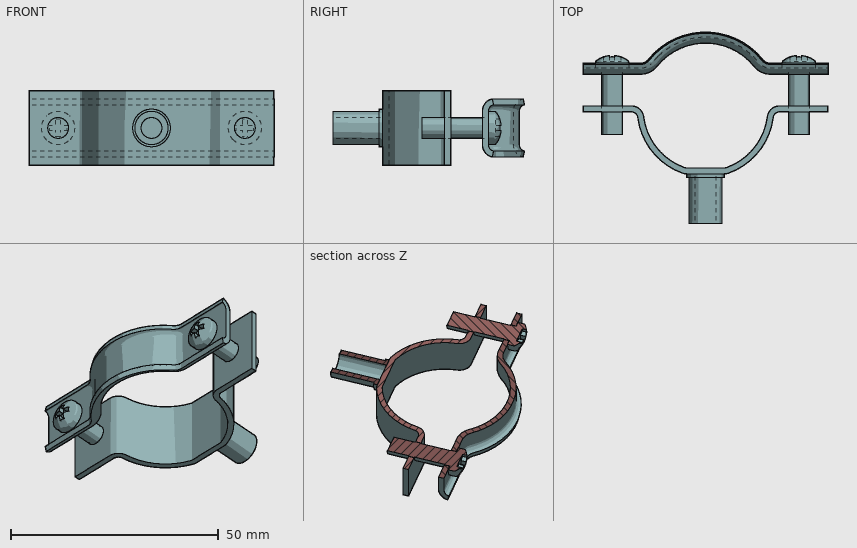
import cadquery as cq
import math


sheet = 1.5
bend_inner = 1.55
bend_outer = bend_inner + sheet
pipe_radius = 15.0
half_length = 29.45

strap_width = 18.0
ear_top = sheet / 2
flat_half_width = 4.55

upper_overhang = 0.1
upper_arc_centre = 0.8
upper_ear_height = 8.3
web_width = 8.15
flange_angle = math.radians(78)
upper_bend = 5.0

boss_radius = 4.0
boss_bore_radius = 5.0 / 2
boss_length = 12.0
collar_radius = flat_half_width
collar_length = 0.9

screw_offset = 22.5
screw_positions = (-screw_offset, screw_offset)
shank_radius = 5.0 / 2
shank_length = 16.0
head_radius = 4.0
head_rim = 1.65
head_height = 3.1
rim_fillet = 0.5
recess_length = 4.2
recess_width = 1.25
recess_depth = head_height - head_rim


def polar(centre, radius, angle):
    """Point at an angle (radians, from +X) on a circle in the XY plane."""
    return (centre[0] + radius * math.cos(angle), centre[1] + radius * math.sin(angle))


def mirror_x(point):
    return (-point[0], point[1])


def cylinder_along_y(radius, y_start, y_end, x=0):
    return cq.Workplane("XZ", origin=(x, y_end, 0)).circle(radius).extrude(y_end - y_start)


shoulder_y = ear_top - bend_outer
shoulder_x = math.sqrt((pipe_radius + bend_outer) ** 2 - shoulder_y ** 2)
shoulder_angle = math.atan2(shoulder_y, shoulder_x)
seat_bend_y = -math.sqrt((pipe_radius - bend_inner) ** 2 - flat_half_width ** 2)
seat_angle = math.atan2(seat_bend_y, flat_half_width)
seat_top = seat_bend_y - bend_inner
seat_bottom = seat_top - sheet


def strap_edge(depth):
    """Right-hand points of one lower strap face, lying `depth` below the pipe-side face."""
    arc_radius = pipe_radius + depth
    shoulder_radius = bend_outer - depth
    seat_radius = bend_inner + depth
    shoulder = (shoulder_x, shoulder_y)
    seat_bend = (flat_half_width, seat_bend_y)
    toward_arc = shoulder_angle + math.pi
    return [
        (half_length, ear_top - depth),
        (shoulder_x, ear_top - depth),
        polar(shoulder, shoulder_radius, (math.pi / 2 + toward_arc) / 2),
        polar(shoulder, shoulder_radius, toward_arc),
        polar((0, 0), arc_radius, (shoulder_angle + seat_angle) / 2),
        polar((0, 0), arc_radius, seat_angle),
        polar(seat_bend, seat_radius, (seat_angle - math.pi / 2) / 2),
        (flat_half_width, seat_top - depth),
    ]


def trace_strap_edge(outline, points):
    """Follow a whole strap face from the end where `outline` stands to the other end."""
    _, shoulder_start, shoulder_mid, shoulder_end, arc_mid, arc_end, seat_mid, seat_end = points
    return (
        outline.lineTo(*shoulder_start)
        .threePointArc(shoulder_mid, shoulder_end)
        .threePointArc(arc_mid, arc_end)
        .threePointArc(seat_mid, seat_end)
        .lineTo(*mirror_x(seat_end))
        .threePointArc(mirror_x(seat_mid), mirror_x(arc_end))
        .threePointArc(mirror_x(arc_mid), mirror_x(shoulder_end))
        .threePointArc(mirror_x(shoulder_mid), mirror_x(shoulder_start))
        .lineTo(*mirror_x(points[0]))
    )


def cut_screw_holes(strap):
    for x in screw_positions:
        strap = strap.cut(cylinder_along_y(shank_radius, -bend_outer, upper_ear_height + bend_outer, x))
    return strap


def make_lower_strap():
    pipe_face = strap_edge(0)
    back_face = [mirror_x(point) for point in strap_edge(sheet)]
    outline = cq.Workplane("XY", origin=(0, 0, -strap_width / 2)).moveTo(*pipe_face[0])
    outline = trace_strap_edge(outline, pipe_face).lineTo(*back_face[0])
    outline = trace_strap_edge(outline, back_face).close()
    return cut_screw_holes(outline.extrude(strap_width))


def make_upper_path():
    """Line of the pipe-side face of the upper strap, from the -X end to the +X end."""
    bend_y = upper_ear_height + upper_bend
    rise = bend_y - upper_arc_centre
    bend_x = math.sqrt((pipe_radius + upper_bend) ** 2 - rise ** 2)
    arc_angle = math.atan2(rise, bend_x)
    bend_start = (bend_x, upper_ear_height)
    toward_arc = arc_angle + math.pi
    toward_ear = 3 * math.pi / 2
    bend_mid = polar((bend_x, bend_y), upper_bend, (toward_arc + toward_ear) / 2)
    bend_end = polar((0, upper_arc_centre), pipe_radius, arc_angle)
    return (
        cq.Workplane("XY")
        .moveTo(-half_length, upper_ear_height)
        .lineTo(*mirror_x(bend_start))
        .threePointArc(mirror_x(bend_mid), mirror_x(bend_end))
        .threePointArc((0, upper_arc_centre + pipe_radius), bend_end)
        .threePointArc(bend_mid, bend_start)
        .lineTo(half_length + upper_overhang, upper_ear_height)
    )


def make_upper_strap():
    """Shallow channel section swept along the strap, its flanges curling away from the pipe."""
    half_web = web_width / 2
    bend_y = upper_ear_height + bend_outer

    def flange_point(radius, angle, side):
        return (bend_y - radius * math.cos(angle), side * (half_web + radius * math.sin(angle)))

    half_angle = flange_angle / 2
    section = (
        cq.Workplane("YZ", origin=(-half_length, 0, 0))
        .moveTo(upper_ear_height, -half_web)
        .lineTo(upper_ear_height, half_web)
        .threePointArc(flange_point(bend_outer, half_angle, 1), flange_point(bend_outer, flange_angle, 1))
        .lineTo(*flange_point(bend_inner, flange_angle, 1))
        .threePointArc(flange_point(bend_inner, half_angle, 1), flange_point(bend_inner, 0, 1))
        .lineTo(*flange_point(bend_inner, 0, -1))
        .threePointArc(flange_point(bend_inner, half_angle, -1), flange_point(bend_inner, flange_angle, -1))
        .lineTo(*flange_point(bend_outer, flange_angle, -1))
        .threePointArc(flange_point(bend_outer, half_angle, -1), flange_point(bend_outer, 0, -1))
        .close()
    )
    return cut_screw_holes(section.sweep(make_upper_path()))


def make_boss():
    """Bored boss with a collar, standing on the flat seat of the lower strap."""
    boss_end = seat_bottom - boss_length
    boss = cylinder_along_y(boss_radius, boss_end, seat_bottom)
    boss = boss.union(cylinder_along_y(collar_radius, seat_bottom - collar_length, seat_bottom))
    return boss.cut(cylinder_along_y(boss_bore_radius, boss_end, seat_bottom))


def make_screw(x):
    """Domed screw with a cross recess, its head seated on the inside of the upper channel."""
    seat = upper_ear_height + sheet
    dome_rise = head_height - head_rim
    dome_radius = (head_radius ** 2 + dome_rise ** 2) / (2 * dome_rise)
    dome_mid_x = head_radius / 2
    dome_mid_y = head_height - dome_radius + math.sqrt(dome_radius ** 2 - dome_mid_x ** 2)
    head = (
        cq.Workplane("XY")
        .lineTo(head_radius, 0)
        .lineTo(head_radius, head_rim)
        .threePointArc((dome_mid_x, dome_mid_y), (0, head_height))
        .close()
        .revolve(360, (0, 0, 0), (0, 1, 0))
        .edges(cq.NearestToPointSelector((0, head_rim, 0)))
        .fillet(rim_fillet)
    )
    recess_y = head_height - recess_depth / 2
    for length_x, length_z in ((recess_length, recess_width), (recess_width, recess_length)):
        arm = cq.Workplane("XY").box(length_x, recess_depth, length_z)
        head = head.cut(arm.translate((0, recess_y, 0)))
    screw = head.union(cylinder_along_y(shank_radius, -shank_length, 0))
    return screw.translate((x, seat, 0))


lower_strap = make_lower_strap()
upper_strap = make_upper_strap()
boss = make_boss()
screws = [make_screw(x) for x in screw_positions]

result = cq.Compound.makeCompound(
    [lower_strap.val(), upper_strap.val(), boss.val(), *[screw.val() for screw in screws]]
)